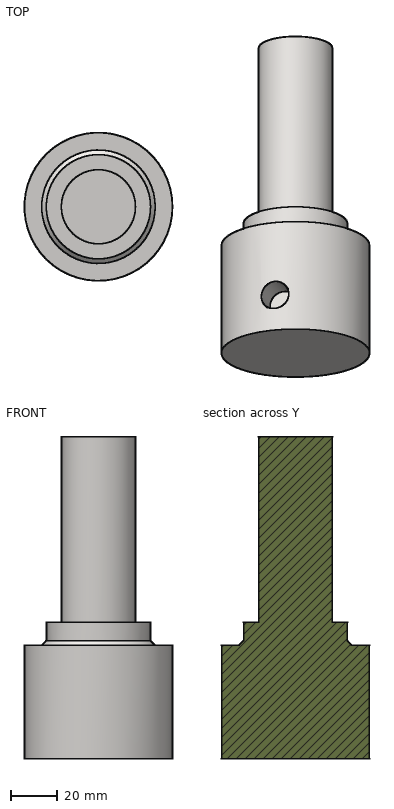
import cadquery as cq

BODY_DIAMETER = 64.0
BODY_HEIGHT = 49.0
COLLAR_DIAMETER = 45.0
COLLAR_HEIGHT = 10.0
COLLAR_FLARE = 2.0
SHANK_DIAMETER = 32.0
TOTAL_HEIGHT = 139.0

SIDE_HOLE_DIAMETER = 12.3
SIDE_HOLE_HEIGHT = 16.0
SIDE_HOLE_DEPTH = 14.0

BODY_RADIUS = BODY_DIAMETER / 2
COLLAR_RADIUS = COLLAR_DIAMETER / 2
SHANK_RADIUS = SHANK_DIAMETER / 2
FLARE_RADIUS = COLLAR_RADIUS + COLLAR_FLARE
FLARE_TOP = BODY_HEIGHT + COLLAR_FLARE
COLLAR_TOP = BODY_HEIGHT + COLLAR_HEIGHT


def turned_body():
    """Body, flared collar and shank revolved in one piece about Z."""
    half_profile = [
        (0, 0),
        (BODY_RADIUS, 0),
        (BODY_RADIUS, BODY_HEIGHT),
        (FLARE_RADIUS, BODY_HEIGHT),
        (COLLAR_RADIUS, FLARE_TOP),
        (COLLAR_RADIUS, COLLAR_TOP),
        (SHANK_RADIUS, COLLAR_TOP),
        (SHANK_RADIUS, TOTAL_HEIGHT),
        (0, TOTAL_HEIGHT),
    ]
    return cq.Workplane("XZ").polyline(half_profile).close().revolve(360, (0, 0, 0), (0, 1, 0))


def side_hole():
    """Cutter for the blind radial hole entering the body from +Y."""
    return (
        cq.Workplane("XZ", origin=(0, BODY_RADIUS, SIDE_HOLE_HEIGHT))
        .circle(SIDE_HOLE_DIAMETER / 2)
        .extrude(SIDE_HOLE_DEPTH)
    )


result = turned_body().cut(side_hole())